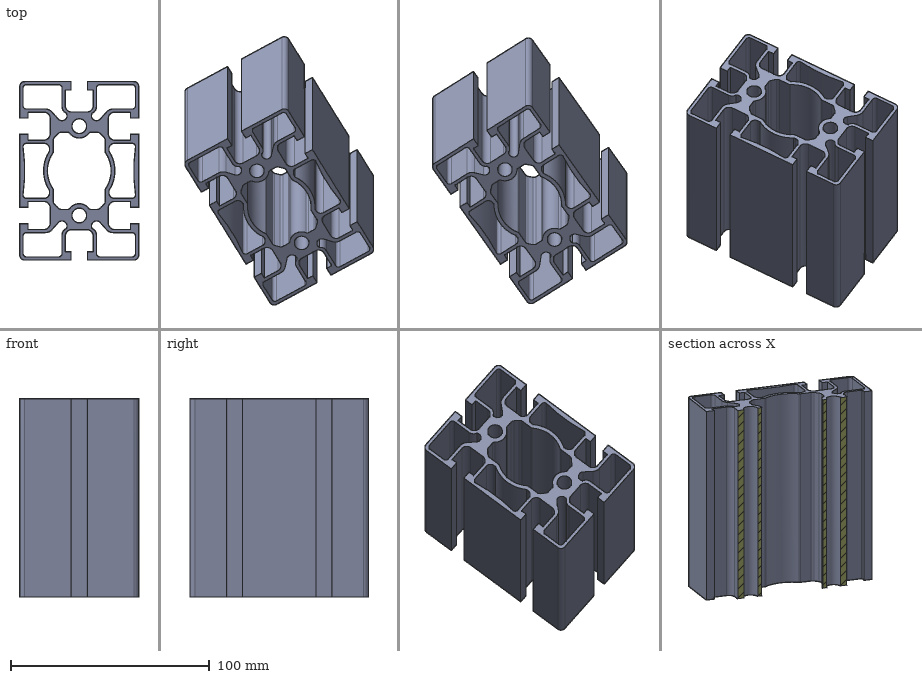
import cadquery as cq
import math

WIDTH = 60.0
DEPTH = 90.0
LENGTH = 100.0
HALF_WIDTH = WIDTH / 2
HALF_DEPTH = DEPTH / 2
CORNER_RADIUS = 2.5

WALL = 1.7
POCKET_RADIUS = 1.6

SLOT_PITCH = 45.0
SLOT_OPENING = 8.1
SLOT_INNER_WIDTH = 14.0
SLOT_LIP = 4.3
SLOT_DEPTH = 15.3
SLOT_RADIUS = 3.1
SLOT_Y = SLOT_PITCH / 2

CHANNEL_DIAMETER = 7.3
BOSS_RADIUS = 6.0

CORE_HALF_WIDTH = 13.0
CORE_HALF_DEPTH = 19.4
CORE_CHAMFER = 3.1
CORE_CHAMFER_RADIUS = 2.0
CORE_CIRCLE_RADIUS = 16.0
CIRCLE_BLEND_RADIUS = 1.0
BOSS_BLEND_RADIUS = 1.5

SIDE_RADIUS = 2.7
SIDE_WEB = 2.0
SIDE_WALL_BULGE = 0.9

FINGER_RADIUS = 2.5
FINGER_DROP = 17.2
NECK_DROP = 12.6
NECK_RADIUS = 3.5
NECK_MEET_ANGLE = 150.0
BEND_RADIUS = 4.5
FLANK_ANGLE = 48.0


def prism(sketch):
    """Extrude a closed XY outline over the full profile length."""
    return sketch.extrude(LENGTH)


def box(x_min, x_max, y_min, y_max):
    """Full-length block between the given X and Y limits."""
    center = ((x_min + x_max) / 2, (y_min + y_max) / 2)
    return prism(cq.Workplane("XY").center(*center).rect(x_max - x_min, y_max - y_min))


def cylinder(radius, y=0.0):
    """Full-length cylinder on the Y axis of the section."""
    return prism(cq.Workplane("XY").center(0, y).circle(radius))


def t_slot():
    """T-slot cutter for a mouth at the origin, running inward along -Y."""
    mouth = box(-SLOT_OPENING / 2, SLOT_OPENING / 2, -SLOT_LIP, 0)
    cavity = box(-SLOT_INNER_WIDTH / 2, SLOT_INNER_WIDTH / 2, -SLOT_DEPTH, -SLOT_LIP)
    cavity = cavity.edges("|Z and <Y").fillet(SLOT_RADIUS)
    return mouth.union(cavity)


def round_edges(body, x, y, radius):
    """Fillet the four full-length edges at (+-x, +-y)."""
    for edge_x in (-x, x):
        for edge_y in (-y, y):
            nearest = cq.NearestToPointSelector((edge_x, edge_y, LENGTH / 2))
            body = body.edges(nearest).fillet(radius)
    return body


def core():
    """Central opening, notched at both ends by the screw channel bosses."""
    opening = box(-CORE_HALF_WIDTH, CORE_HALF_WIDTH, -CORE_HALF_DEPTH, CORE_HALF_DEPTH)
    opening = opening.edges("|Z").chamfer(CORE_CHAMFER)
    opening = opening.edges("|Z").fillet(CORE_CHAMFER_RADIUS)

    opening = opening.union(cylinder(CORE_CIRCLE_RADIUS))
    circle_edge_y = math.sqrt(CORE_CIRCLE_RADIUS**2 - CORE_HALF_WIDTH**2)
    opening = round_edges(opening, CORE_HALF_WIDTH, circle_edge_y, CIRCLE_BLEND_RADIUS)

    for y in (-SLOT_Y, SLOT_Y):
        opening = opening.cut(cylinder(BOSS_RADIUS, y))
    boss_edge_x = math.sqrt(BOSS_RADIUS**2 - (SLOT_Y - CORE_HALF_DEPTH) ** 2)
    return round_edges(opening, boss_edge_x, CORE_HALF_DEPTH, BOSS_BLEND_RADIUS)


def side_chamber():
    """Chamber on the +X side, between the outer wall and the core circle."""
    x_outer = HALF_WIDTH - WALL
    x_inner = CORE_HALF_WIDTH + SIDE_WEB
    half_height = SLOT_Y - SLOT_INNER_WIDTH / 2 - WALL
    bulge_half_height = half_height - POCKET_RADIUS
    chamber = box(x_inner, x_outer, -half_height, half_height)
    chamber = chamber.edges("|Z and <X").fillet(SIDE_RADIUS)
    chamber = chamber.edges("|Z and >X").fillet(POCKET_RADIUS)
    wall_bulge = prism(
        cq.Workplane("XY")
        .moveTo(x_outer, -bulge_half_height)
        .threePointArc((x_outer - SIDE_WALL_BULGE, 0), (x_outer, bulge_half_height))
        .close()
    )
    return chamber.cut(wall_bulge).cut(cylinder(CORE_CIRCLE_RADIUS + SIDE_WEB))


def corner_chamber():
    """Chamber in the +X +Y corner with its diagonal finger."""
    x_outer = HALF_WIDTH - WALL
    x_inner = SLOT_INNER_WIDTH / 2 + WALL
    y_outer = HALF_DEPTH - WALL
    y_inner = SLOT_Y + SLOT_INNER_WIDTH / 2 + WALL
    flank_angle = math.radians(FLANK_ANGLE)
    normal_x = math.sin(flank_angle)
    normal_y = math.cos(flank_angle)

    finger_y = HALF_DEPTH - FINGER_DROP
    finger_tip = (x_inner, finger_y - FINGER_RADIUS)
    finger_low = (x_inner + FINGER_RADIUS * normal_x, finger_y - FINGER_RADIUS * normal_y)

    neck_y = HALF_DEPTH - NECK_DROP
    meet_angle = math.radians(NECK_MEET_ANGLE)
    meet = (
        x_inner + FINGER_RADIUS * math.cos(meet_angle),
        finger_y + FINGER_RADIUS * math.sin(meet_angle),
    )

    bend_y = y_inner - BEND_RADIUS
    bend_x = x_inner + (FINGER_RADIUS + BEND_RADIUS + (bend_y - finger_y) * normal_y) / normal_x
    bend_low = (bend_x - BEND_RADIUS * normal_x, bend_y + BEND_RADIUS * normal_y)

    return prism(
        cq.Workplane("XY")
        .moveTo(x_inner + POCKET_RADIUS, y_outer)
        .lineTo(x_outer - POCKET_RADIUS, y_outer)
        .radiusArc((x_outer, y_outer - POCKET_RADIUS), POCKET_RADIUS)
        .lineTo(x_outer, y_inner + POCKET_RADIUS)
        .radiusArc((x_outer - POCKET_RADIUS, y_inner), POCKET_RADIUS)
        .lineTo(bend_x, y_inner)
        .radiusArc(bend_low, -BEND_RADIUS)
        .lineTo(*finger_low)
        .threePointArc(finger_tip, meet)
        .radiusArc((x_inner, neck_y), -NECK_RADIUS)
        .lineTo(x_inner, y_outer - POCKET_RADIUS)
        .radiusArc((x_inner + POCKET_RADIUS, y_outer), POCKET_RADIUS)
        .close()
    )


def with_mirror(cutter, plane):
    """The cutter together with its mirror image."""
    return cutter.union(cutter.mirror(plane))


profile = box(-HALF_WIDTH, HALF_WIDTH, -HALF_DEPTH, HALF_DEPTH)
profile = profile.edges("|Z").fillet(CORNER_RADIUS)

end_slot = t_slot().translate((0, HALF_DEPTH, 0))
side_slot = t_slot().rotate((0, 0, 0), (0, 0, 1), -90).translate((HALF_WIDTH, SLOT_Y, 0))
channel = cylinder(CHANNEL_DIAMETER / 2, SLOT_Y)

profile = profile.cut(core())
for cutter in (end_slot, channel):
    profile = profile.cut(with_mirror(cutter, "XZ"))
profile = profile.cut(with_mirror(side_chamber(), "YZ"))
for cutter in (side_slot, corner_chamber()):
    profile = profile.cut(with_mirror(with_mirror(cutter, "XZ"), "YZ"))

result = profile